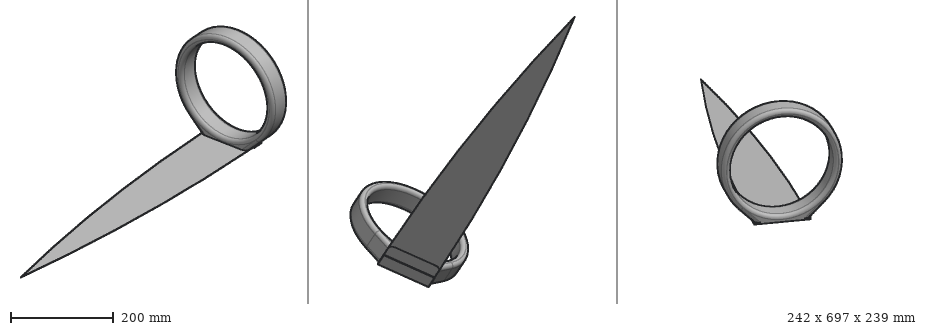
import cadquery as cq
import math

total_length = 697.0
ring_diameter = 242.0
total_height = 239.0

bore_diameter = 206.5
ring_width = 49.5
rim_land = 0.35
ring_radius = ring_diameter / 2
bore_radius = bore_diameter / 2
rim_round = (ring_radius - bore_radius - rim_land) / 2
ring_middle_y = ring_width / 2

pad_thickness = 3.5
blade_thickness = 1.05
blade_length = total_length - ring_width

flank_angle = math.radians(45)
foot_level = ring_radius - total_height + pad_thickness
contact_x = ring_radius * math.sin(flank_angle)
contact_z = -ring_radius * math.cos(flank_angle)
foot_half_width = contact_x - (contact_z - foot_level) / math.tan(flank_angle)


def make_ring():
    """Round ring with a flat foot, a bore and rounded rims."""
    back_plane = cq.Workplane("XZ", origin=(0, ring_width, 0))
    body = (
        back_plane.moveTo(-foot_half_width, foot_level)
        .lineTo(foot_half_width, foot_level)
        .lineTo(contact_x, contact_z)
        .threePointArc((0, ring_radius), (-contact_x, contact_z))
        .close()
        .extrude(ring_width)
    )
    bore = back_plane.circle(bore_radius).extrude(ring_width)
    return body.cut(bore).faces("|Y").edges("not <Z").fillet(rim_round)


def make_pad():
    """Plate under the back half of the foot."""
    return cq.Workplane("XY").box(
        2 * foot_half_width, ring_width - ring_middle_y, pad_thickness, centered=(True, False, False)
    ).translate((0, ring_middle_y, foot_level - pad_thickness))


def make_blade():
    """Plate with two arcs that leave the ring's front face parallel to Y and meet at the tip."""
    arc_radius = (blade_length**2 + foot_half_width**2) / (2 * foot_half_width)
    half_sweep = math.asin(blade_length / arc_radius) / 2
    arc_middle_x = foot_half_width - arc_radius * (1 - math.cos(half_sweep))
    arc_middle_y = -arc_radius * math.sin(half_sweep)
    return (
        cq.Workplane("XY", origin=(0, 0, foot_level - blade_thickness))
        .moveTo(-foot_half_width, ring_middle_y)
        .lineTo(foot_half_width, ring_middle_y)
        .lineTo(foot_half_width, 0)
        .threePointArc((arc_middle_x, arc_middle_y), (0, -blade_length))
        .threePointArc((-arc_middle_x, arc_middle_y), (-foot_half_width, 0))
        .close()
        .extrude(blade_thickness)
    )


result = make_ring().union(make_pad()).union(make_blade())